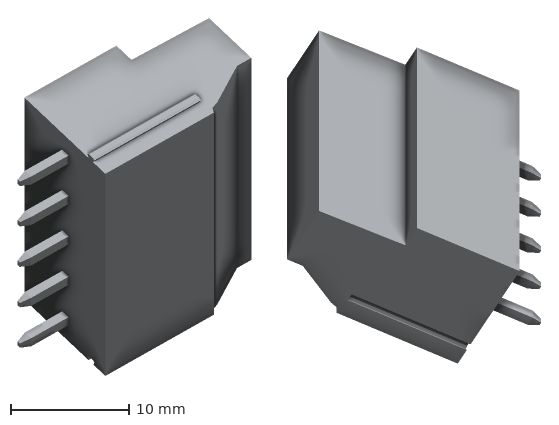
import cadquery as cq

overall_height = 25.5
pole_count = 5
pole_pitch = 5.0
housing_width = 11.2
housing_depth = 18.0
housing_height = pole_count * pole_pitch

step_depth = 9.85
step_width = 2.1
draft_offset = 0.18

back_right_x = 8.1
slope_start_y = 16.47
slope_break_x = 10.45
slope_break_y = 12.52
slope_end_x = 10.68
slope_end_y = 11.83
corner_y = 11.63

rail_center_x = 9.2
rail_length = 11.4
rail_height = overall_height - housing_height
rail_max_width = 0.95
rail_tip_width = 0.55
rail_tip_height = 0.15
rail_neck_width = 0.55
slot_opening_width = 0.7

pin_center_x = 5.69
pin_width = 0.87
pin_height = 1.0
pin_length = 5.0
pin_taper_length = 1.0
pin_tip_width = 0.3
pin_tip_height = 0.54


def make_housing():
    """Stepped and sloped profile, extruded along Z."""
    outline = [
        (0, 0),
        (housing_width, 0),
        (housing_width, corner_y),
        (slope_end_x, slope_end_y),
        (slope_break_x, slope_break_y),
        (back_right_x, slope_start_y),
        (back_right_x, housing_depth),
        (step_width + draft_offset, housing_depth),
        (step_width, step_depth),
        (0, step_depth),
    ]
    return cq.Workplane("XY").polyline(outline).close().extrude(housing_height)


def make_dovetail(base_z, neck_width):
    """Dovetail bar with a chamfered crest, running back from the pin face."""
    shoulder_z = rail_height - rail_tip_height
    right_side = [
        (neck_width / 2, 0),
        (rail_max_width / 2, shoulder_z),
        (rail_tip_width / 2, rail_height),
    ]
    left_side = [(-x, z) for x, z in reversed(right_side)]
    return (
        cq.Workplane("XZ", origin=(rail_center_x, 0, base_z))
        .polyline(right_side + left_side)
        .close()
        .extrude(-rail_length)
    )


def make_pin(center_z):
    """Rectangular pin pointing along -Y, with a tapered tip."""
    shank_length = pin_length - pin_taper_length
    shank = (
        cq.Workplane("XZ", origin=(pin_center_x, 0, center_z))
        .rect(pin_width, pin_height)
        .extrude(shank_length)
    )
    tip = (
        cq.Workplane("XZ", origin=(pin_center_x, -shank_length, center_z))
        .rect(pin_width, pin_height)
        .workplane(offset=pin_taper_length)
        .rect(pin_tip_width, pin_tip_height)
        .loft(ruled=True)
    )
    return shank.union(tip)


result = make_housing()
result = result.cut(make_dovetail(0, slot_opening_width))
result = result.union(make_dovetail(housing_height, rail_neck_width))
for pole in range(pole_count):
    result = result.union(make_pin((pole + 0.5) * pole_pitch))